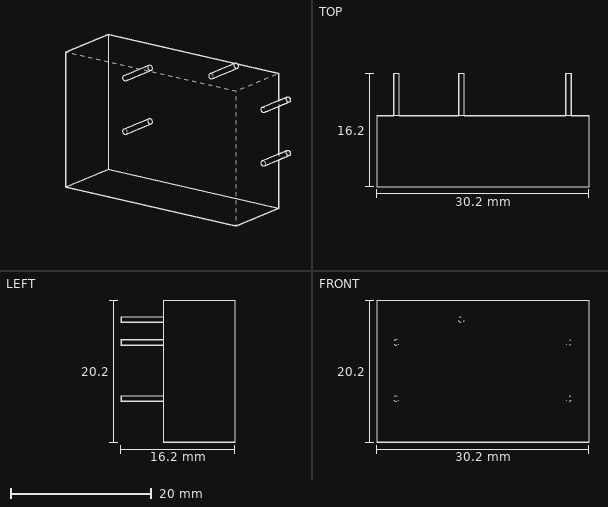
import cadquery as cq

body_length = 30.2
body_depth = 10.2
body_height = 20.2

pin_diameter = 0.8
pin_length = 6.0

end_columns_x = (2.75, 27.25)
end_rows_z = (6.2, 14.2)

offset_pin_x = 12.0
offset_pin_z = 17.45


def make_body():
    """Plain rectangular housing."""
    return cq.Workplane("XY").box(body_length, body_depth, body_height, centered=False)


def make_pin(x, z):
    """Straight round pin running along +Y from the back face of the housing."""
    base = cq.Vector(x, body_depth, z)
    direction = cq.Vector(0, 1, 0)
    return cq.Workplane(cq.Solid.makeCylinder(pin_diameter / 2, pin_length, base, direction))


pin_positions = [(x, z) for x in end_columns_x for z in end_rows_z]
pin_positions.append((offset_pin_x, offset_pin_z))

result = make_body()
for pin_x, pin_z in pin_positions:
    result = result.union(make_pin(pin_x, pin_z))